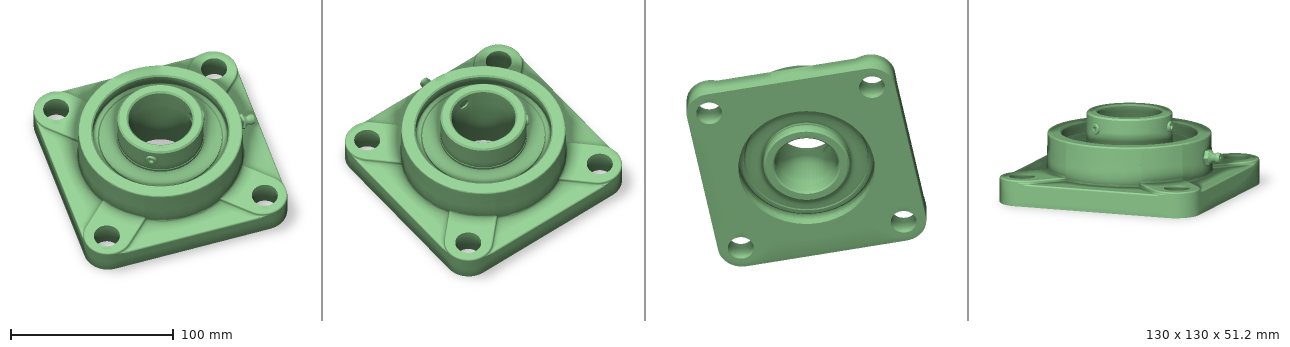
import cadquery as cq
import math

side = 130.0
corner_radius = 15.0
plate_height = 14.0
cast_fillet = 1.0
pad_height = plate_height + 2 * cast_fillet
pad_half_width = corner_radius
corner_center = side / 2 - corner_radius
bolt_offset = 51.0
bolt_hole_diameter = 16.0

boss_height = 38.4
boss_base_radius = 51.0
boss_top_radius = 50.5
bore_diameter = 83.8
bore_mouth_diameter = 85.7

bearing_center = 20.9
outer_ring_width = 21.8
outer_ring_inner_radius = 37.7
outer_ring_chamfer = 0.9
inner_ring_top = 51.2
inner_ring_bottom = 2.0
inner_ring_diameter = 52.8
collar_diameter = 53.5
collar_top = 33.8
shaft_bore_diameter = 39.6
inner_ring_chamfer = 1.0

seal_flat_radius = 34.6
seal_face_offset = 10.9
seal_cone_rise = 0.3
seal_thickness = 2.0

screw_diameter = 6.8
screw_height = 43.3
screw_inner_end = 20.8
screw_outer_end = 27.7
screw_chamfer = 0.4
screw_socket_flats = 3.0
screw_socket_depth = 2.6
screw_angles = (90, -30)

nipple_height = 26.0
nipple_seat = 50.7
nipple_inner_end = 46.8
nipple_shank_radius = 3.0
hex_flats = 8.7
hex_end = 53.4
cone_end = 55.0
neck_radius = 2.6
neck_start = 55.6
neck_end = 56.2
rim_radius = 3.4
rim_place = 58.0
head_radius = 3.0
head_end = 60.0
ball_radius = 0.8
ball_end = 60.6

hex_corner_ratio = 2 / math.sqrt(3)
fillet_middle = cast_fillet * (1 - math.sqrt(0.5))


def revolve_about_z(profile):
    return profile.close().revolve(360, (0, 0), (0, 1))


def concave_fillet(sketch, wall, floor):
    """Continue a profile from a floor, up a concave fillet and onto a wall."""
    return sketch.lineTo(wall + cast_fillet, floor).threePointArc(
        (wall + fillet_middle, floor + fillet_middle), (wall, floor + cast_fillet)
    )


def rounded_square(height):
    block = cq.Workplane("XY").rect(side, side).extrude(height)
    return block.edges("|Z").fillet(corner_radius)


def pad_half_section():
    """Half of a pad's cross-section, with a foot fillet and a rounded top edge."""
    section = cq.Workplane("XZ").moveTo(0, 0).lineTo(pad_half_width + cast_fillet, 0)
    section = concave_fillet(section, pad_half_width, plate_height)
    section = section.threePointArc(
        (pad_half_width - fillet_middle, pad_height - fillet_middle),
        (pad_half_width - cast_fillet, pad_height),
    )
    return section.lineTo(0, pad_height).close()


def make_pads():
    """Two raised bars along the diagonals, with round ends over the corners."""
    reach = math.sqrt(2) * corner_center
    half_bar = pad_half_section().extrude(reach, both=True)
    bar = half_bar.union(half_bar.mirror("YZ"))
    round_end = pad_half_section().revolve(360, (0, 0), (0, 1))
    for place in (-reach, reach):
        bar = bar.union(round_end.translate((0, place, 0)))
    first = bar.rotate((0, 0, 0), (0, 0, 1), 45)
    second = bar.rotate((0, 0, 0), (0, 0, 1), -45)
    return first.union(second).intersect(rounded_square(pad_height))


def boss_on(floor):
    """The tapered boss with a fillet where it meets a floor at the given height."""
    sketch = cq.Workplane("XZ").moveTo(0, 0).lineTo(boss_base_radius + cast_fillet, 0)
    sketch = concave_fillet(sketch, boss_base_radius, floor)
    sketch = sketch.lineTo(boss_top_radius, boss_height - cast_fillet).threePointArc(
        (boss_top_radius - fillet_middle, boss_height - fillet_middle),
        (boss_top_radius - cast_fillet, boss_height),
    )
    return revolve_about_z(sketch.lineTo(0, boss_height))


def make_bearing_bore():
    """The through bore with its chamfered mouth."""
    bore = bore_diameter / 2
    mouth = bore_mouth_diameter / 2
    profile = cq.Workplane("XZ").polyline(
        [
            (0, 0),
            (bore, 0),
            (bore, boss_height - (mouth - bore)),
            (mouth, boss_height),
            (0, boss_height),
        ]
    )
    return revolve_about_z(profile)


def make_bolt_holes():
    return (
        cq.Workplane("XY")
        .rect(2 * bolt_offset, 2 * bolt_offset, forConstruction=True)
        .vertices()
        .circle(bolt_hole_diameter / 2)
        .extrude(pad_height)
    )


def make_housing():
    plate = rounded_square(plate_height).faces(">Z").edges().fillet(cast_fillet)
    casting = plate.union(make_pads()).union(boss_on(plate_height))
    pad_flat_width = 2 * (pad_half_width - cast_fillet)
    for angle in (45, -45):
        strip = cq.Workplane("XY").rect(side, pad_flat_width).extrude(boss_height)
        strip = strip.rotate((0, 0, 0), (0, 0, 1), angle)
        casting = casting.union(boss_on(pad_height).intersect(strip))
    return casting.cut(make_bearing_bore()).cut(make_bolt_holes()).cut(make_nipple())


def make_outer_ring():
    ring = (
        cq.Workplane("XY", origin=(0, 0, bearing_center))
        .circle(bore_diameter / 2)
        .circle(outer_ring_inner_radius)
        .extrude(outer_ring_width / 2, both=True)
    )
    return ring.faces("<Z or >Z").edges().chamfer(outer_ring_chamfer)


def make_inner_ring():
    ring_length = inner_ring_top - inner_ring_bottom
    ring = (
        cq.Workplane("XY", origin=(0, 0, inner_ring_bottom))
        .circle(inner_ring_diameter / 2)
        .extrude(ring_length)
        .faces("<Z or >Z")
        .edges()
        .chamfer(inner_ring_chamfer)
    )
    collar_bottom = 2 * bearing_center - collar_top
    collar = (
        cq.Workplane("XY", origin=(0, 0, collar_bottom))
        .circle(collar_diameter / 2)
        .extrude(collar_top - collar_bottom)
    )
    bore = (
        cq.Workplane("XY", origin=(0, 0, inner_ring_bottom))
        .circle(shaft_bore_diameter / 2)
        .extrude(ring_length)
    )
    ring = ring.union(collar).cut(bore)
    bore_edges = ring.faces("<Z or >Z").edges(cq.selectors.RadiusNthSelector(0))
    ring = bore_edges.chamfer(inner_ring_chamfer)
    for angle in screw_angles:
        hole = (
            cq.Workplane("YZ", origin=(0, 0, screw_height))
            .circle(screw_diameter / 2)
            .extrude(inner_ring_diameter)
        )
        ring = ring.cut(hole.rotate((0, 0, 0), (0, 0, 1), angle))
    return ring


def make_upper_seal():
    """A flat rim against the outer ring and a slight cone up to the collar."""
    face = bearing_center + seal_face_offset
    bottom = face - seal_thickness
    inner = collar_diameter / 2
    profile = cq.Workplane("XZ").polyline(
        [
            (inner, bottom),
            (outer_ring_inner_radius, bottom),
            (outer_ring_inner_radius, face),
            (seal_flat_radius, face),
            (inner, face + seal_cone_rise),
        ]
    )
    return revolve_about_z(profile)


def make_screw(angle):
    screw = (
        cq.Workplane("YZ", origin=(screw_inner_end, 0, screw_height))
        .circle(screw_diameter / 2)
        .extrude(screw_outer_end - screw_inner_end)
        .faces(">X")
        .edges()
        .chamfer(screw_chamfer)
    )
    socket = (
        cq.Workplane("YZ", origin=(screw_outer_end - screw_socket_depth, 0, screw_height))
        .polygon(6, screw_socket_flats * hex_corner_ratio)
        .extrude(screw_socket_depth)
    )
    return screw.cut(socket).rotate((0, 0, 0), (0, 0, 1), angle)


def make_nipple():
    """The nipple stands out of the boss along +Y, with its shank sunk in the boss."""
    hexagon = (
        cq.Workplane("XZ", origin=(0, hex_end, nipple_height))
        .polygon(6, hex_flats * hex_corner_ratio)
        .extrude(hex_end - nipple_seat)
    )
    profile = [
        (0, nipple_inner_end),
        (nipple_shank_radius, nipple_inner_end),
        (nipple_shank_radius, nipple_seat),
        (hex_flats / 2, nipple_seat),
        (hex_flats / 2, hex_end),
        (head_radius, cone_end),
        (neck_radius, neck_start),
        (neck_radius, neck_end),
        (rim_radius, rim_place),
        (head_radius, head_end),
        (ball_radius, head_end),
        (ball_radius, ball_end),
        (0, ball_end),
    ]
    turned = cq.Workplane("XY").polyline(profile).close().revolve(360, (0, 0), (0, 1))
    return hexagon.union(turned.translate((0, 0, nipple_height)))


housing = make_housing()
outer_ring = make_outer_ring()
inner_ring = make_inner_ring()
upper_seal = make_upper_seal()
lower_seal = upper_seal.mirror("XY", (0, 0, bearing_center))
screws = [make_screw(angle) for angle in screw_angles]
nipple = make_nipple()

result = cq.Compound.makeCompound(
    [
        housing.val(),
        outer_ring.val(),
        inner_ring.val(),
        upper_seal.val(),
        lower_seal.val(),
        *[screw.val() for screw in screws],
        nipple.val(),
    ]
)